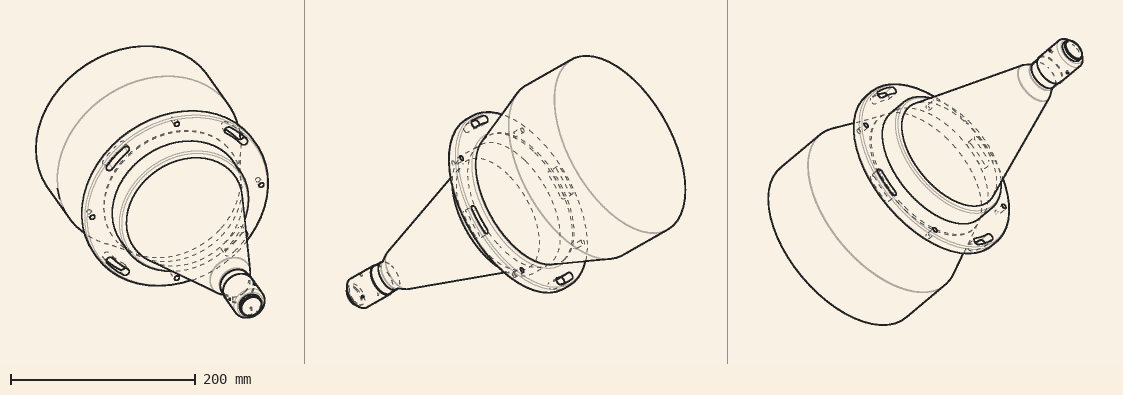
import cadquery as cq
import math

head_radius = 106.0
head_length = 67.0
front_fillet = 0.5
head_fillet = 3.0

bell_end_x = 139.2
neck_radius = 79.0

flange_x = 143.0
flange_end_x = 155.4
flange_radius = 106.0
flange_fillet = 2.0
root_fillet = 2.5

hub_end_x = 179.0
hub_radius = 74.7
hub_fillet = 2.0

cone_start_radius = 67.0
cone_end_x = 322.4
cone_end_radius = 23.4
cone_fillet = 5.0
taper_end_x = 334.3
taper_fillet = 2.0

stem_root_radius = 16.9
stem_root_end_x = 338.0
stem_radius = 17.2

barrel_x = 348.0
barrel_radius = 18.0
barrel_lead_in = 0.6
barrel_fillet = 3.0
barrel_end_x = 385.0
tip_radius = 12.5
tip_chamfer = 1.0
total_length = 389.6

hole_circle_radius = 97.5
pin_hole_diameter = 5.5
slot_width = 8.0
slot_half_angle = 7.7
hole_pairs = 4

screw_count = 3
screw_x = 370.1
screw_diameter = 2.0
screw_depth = 3.0
first_screw_angle = 54.0


def cross_plane(x):
    """Sketch plane across the axis at x: local x is -Y, local y is -Z."""
    return cq.Workplane(cq.Plane(origin=(x, 0, 0), xDir=(0, -1, 0), normal=(1, 0, 0)))


def make_head_and_bell():
    """Cylindrical head with a cone lofted from its rim to the neck."""
    head = cross_plane(0).circle(head_radius).extrude(head_length)
    bell = (
        cross_plane(head_length)
        .circle(head_radius)
        .workplane(offset=bell_end_x - head_length)
        .circle(neck_radius)
        .loft()
    )
    return head.union(bell)


def make_rear():
    """Everything from the neck to the tip, revolved about the X axis."""
    outline = [
        (bell_end_x, 0),
        (bell_end_x, neck_radius),
        (flange_x, neck_radius),
        (flange_x, flange_radius),
        (flange_end_x, flange_radius),
        (flange_end_x, hub_radius),
        (hub_end_x, hub_radius),
        (hub_end_x, cone_start_radius),
        (cone_end_x, cone_end_radius),
        (taper_end_x, stem_root_radius),
        (stem_root_end_x, stem_root_radius),
        (stem_root_end_x, stem_radius),
        (barrel_x, stem_radius),
        (barrel_x, barrel_radius),
        (barrel_end_x, barrel_radius),
        (barrel_end_x, tip_radius),
        (total_length, tip_radius),
        (total_length, 0),
    ]
    return cq.Workplane("XZ").polyline(outline).close().revolve(360, (0, 0, 0), (1, 0, 0))


def rim(body, x, radius):
    """Select the circular edge of the given radius at x."""
    margin = 0.05
    reach = radius + margin
    near = cq.selectors.BoxSelector(
        (x - margin, -reach, -reach), (x + margin, reach, reach), boundingbox=True
    )
    edges = body.edges(near).edges("%CIRCLE")
    return edges.filter(lambda edge: abs(edge.radius() - radius) < margin)


def round_rims(body):
    rims = [
        (0, head_radius, front_fillet),
        (head_length, head_radius, head_fillet),
        (flange_x, neck_radius, root_fillet),
        (flange_x, flange_radius, flange_fillet),
        (flange_end_x, flange_radius, flange_fillet),
        (hub_end_x, hub_radius, hub_fillet),
        (cone_end_x, cone_end_radius, cone_fillet),
        (taper_end_x, stem_root_radius, taper_fillet),
        (barrel_end_x, barrel_radius, barrel_fillet),
    ]
    for x, radius, fillet in rims:
        body = rim(body, x, radius).fillet(fillet)
    return body


def chamfer_rims(body):
    body = rim(body, barrel_x, barrel_radius).chamfer(barrel_lead_in)
    return rim(body, total_length, tip_radius).chamfer(tip_chamfer)


def polar(radius, angle):
    """Point at the given radius and angle (degrees) in a cross plane."""
    turn = math.radians(angle)
    return (radius * math.cos(turn), radius * math.sin(turn))


def make_pin_holes():
    return (
        cross_plane(flange_x)
        .polarArray(hole_circle_radius, 0, 360, hole_pairs)
        .circle(pin_hole_diameter / 2)
        .extrude(flange_end_x - flange_x)
    )


def make_slot(angle):
    """Curved slot through the flange, centred at the given angle."""
    inner = hole_circle_radius - slot_width / 2
    outer = hole_circle_radius + slot_width / 2
    start = angle - slot_half_angle
    end = angle + slot_half_angle
    return (
        cross_plane(flange_x)
        .moveTo(*polar(inner, start))
        .threePointArc(polar(inner, angle), polar(inner, end))
        .tangentArcPoint(polar(outer, end), relative=False)
        .threePointArc(polar(outer, angle), polar(outer, start))
        .tangentArcPoint(polar(inner, start), relative=False)
        .close()
        .extrude(flange_end_x - flange_x)
    )


def make_screw_hole(angle):
    """Blind radial hole in the barrel, turned from +Y towards +Z."""
    return (
        cq.Workplane("XZ", origin=(screw_x, barrel_radius - screw_depth, 0))
        .circle(screw_diameter / 2)
        .extrude(-2 * screw_depth)
        .rotate((0, 0, 0), (1, 0, 0), angle)
    )


result = make_head_and_bell().union(make_rear())
result = chamfer_rims(round_rims(result))
result = result.cut(make_pin_holes())
for i in range(hole_pairs):
    result = result.cut(make_slot((i + 0.5) * 360 / hole_pairs))
for i in range(screw_count):
    result = result.cut(make_screw_hole(first_screw_angle + i * 360 / screw_count))